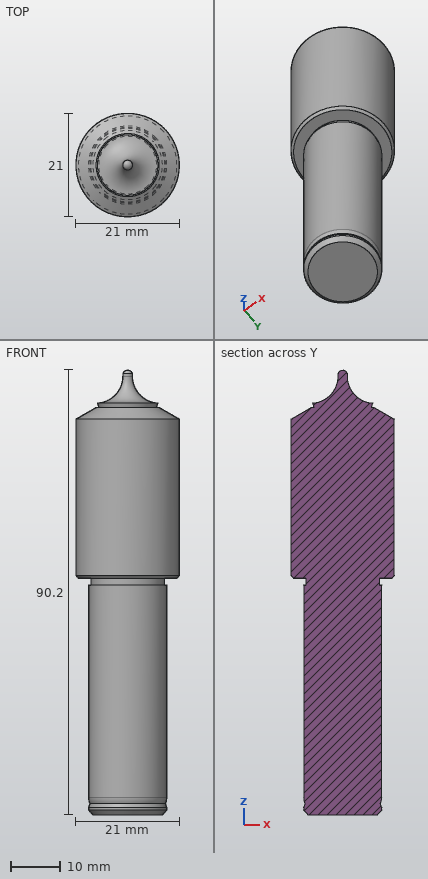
import cadquery as cq
import math

body_radius = 10.51
shank_radius = 7.9
neck_radius = 7.5
ring_groove_radius = 7.7
foot_radius = 7.0
seat_radius = 6.4
disc_radius = 6.1
disc_base_radius = 5.9
tip_radius = 1.0

total_height = 90.2
foot_chamfer_top = 1.0
groove_bottom = 1.5
groove_floor_top = 2.35
groove_top = 3.5
shank_top = 46.6
body_bottom = 48.0
seat_height = 82.6
disc_height = 83.5
flare_top = 89.0
tip_shoulder = 89.5

body_chamfer = 0.5
cone_angle = 30.0
cone_height = (body_radius - seat_radius) * math.tan(math.radians(cone_angle))
cone_bottom = seat_height - cone_height

groove_depth = shank_radius - ring_groove_radius
flank_height = groove_top - groove_floor_top
flank_radius = (groove_depth**2 + flank_height**2) / (2 * groove_depth)
flank_half_angle = math.asin(flank_height / flank_radius) / 2
groove_flank_middle = (
    shank_radius - flank_radius * (1 - math.cos(flank_half_angle)),
    groove_top - flank_radius * math.sin(flank_half_angle),
)

flare_width = disc_radius - tip_radius
flare_height = flare_top - disc_height
flare_radius = (flare_width**2 + flare_height**2) / (2 * flare_width)
flare_sweep = math.atan2(flare_height, flare_radius - flare_width)
flare_middle = (
    tip_radius + flare_radius * (1 - math.cos(flare_sweep / 2)),
    flare_top - flare_radius * math.sin(flare_sweep / 2),
)

cap_height = total_height - tip_shoulder
cap_radius = (tip_radius**2 + cap_height**2) / (2 * cap_height)
cap_half_angle = math.asin(tip_radius / cap_radius) / 2
cap_middle = (
    cap_radius * math.sin(cap_half_angle),
    total_height - cap_radius * (1 - math.cos(cap_half_angle)),
)

profile = (
    cq.Workplane("XZ")
    .moveTo(0, 0)
    .lineTo(foot_radius, 0)
    .lineTo(shank_radius, foot_chamfer_top)
    .lineTo(shank_radius, groove_bottom)
    .lineTo(ring_groove_radius, groove_floor_top)
    .threePointArc(groove_flank_middle, (shank_radius, groove_top))
    .lineTo(shank_radius, shank_top)
    .lineTo(neck_radius, shank_top)
    .lineTo(neck_radius, body_bottom)
    .lineTo(body_radius - body_chamfer, body_bottom)
    .lineTo(body_radius, body_bottom + body_chamfer)
    .lineTo(body_radius, cone_bottom)
    .lineTo(seat_radius, seat_height)
    .lineTo(disc_base_radius, seat_height)
    .lineTo(disc_radius, disc_height)
    .threePointArc(flare_middle, (tip_radius, flare_top))
    .lineTo(tip_radius, tip_shoulder)
    .threePointArc(cap_middle, (0, total_height))
    .close()
)

result = profile.revolve(360, (0, 0, 0), (0, 1, 0))